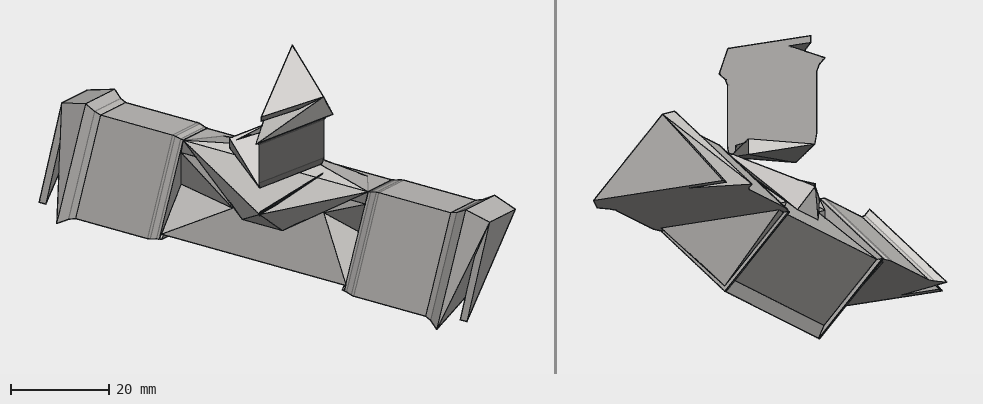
import cadquery as cq
import math

half_length = 46.0

socket_inner_end = 19.9
socket_inner_radius = 14.9
socket_step = 20.4
socket_step_radius = 15.0
socket_bend = 21.6
socket_bend_radius = 15.5
socket_shoulder = 22.2
socket_radius = 15.55
bead_foot = 37.6
bead_flank = 38.9
bead_flank_radius = 16.2
bead_crest = 40.85
bead_diameter = 36.0
bead_radius = bead_diameter / 2
mouth_radius = 16.0
mouth_bore_radius = 14.1
mouth_lip = 1.5
mouth_notch_start = 5.5

branch_base = 20.0
branch_root_radius = 9.9
branch_shoulder = 22.3
branch_radius = 10.4
branch_bead_foot = 35.3
branch_bead_flank = 36.6
branch_bead_flank_radius = 10.95
branch_bead_crest = 37.9
branch_bead_radius = 12.3
branch_mouth = 43.1
branch_mouth_radius = 10.3
branch_bore_radius = 9.0
branch_lip = mouth_lip
branch_notch_start = 4.0

flap_tip_bottom = 16.65
flap_wall_radius = 8.5

core_radius = 14.8
core_wall = 1.3
core_inner_radius = core_radius - core_wall
lower_half_length = socket_inner_end
lower_flare_length = 21.8
flare_radius = 13.7
end_flange = 0.5
recess_floor = 1.5
left_recess_x = 6.8
left_recess_side = 7.1
right_recess_x = 11.8
right_recess_side = 4.1
spur_root_height = 1.8
spur_reach = 10.0
spur_height = 11.0
spur_foot_half_width = 4.3
spur_foot_side = 8.3
rear_spur_reach = 8.65
rear_spur_height = 10.3
rear_spur_half_width = 15.5
rear_spur_side = 12.3
fin_tip_height = 16.5
fin_height = 1.1
fin_thickness = 0.3

TOLERANCE = 8.46e-07


def convex_solid(corners):
    """Smallest convex solid around the given corner points."""
    points = [cq.Vector(*corner) for corner in corners]
    faces = {}
    for i, first in enumerate(points):
        for j, second in enumerate(points[:i]):
            for third in points[:j]:
                normal = (second - first).cross(third - first)
                if normal.Length < TOLERANCE:
                    continue
                normal = normal.normalized()
                heights = [normal.dot(point - first) for point in points]
                if min(heights) < -TOLERANCE and max(heights) > TOLERANCE:
                    continue
                members = [k for k, height in enumerate(heights) if abs(height) <= TOLERANCE]
                if tuple(members) not in faces:
                    faces[tuple(members)] = flat_face([points[k] for k in members], normal)
    return cq.Solid.makeSolid(cq.Shell.makeShell(list(faces.values()))).fix()


def flat_face(points, normal):
    """Convex planar face through points given in any order."""
    middle = sum(points, cq.Vector()) / len(points)
    across = (points[0] - middle).normalized()
    along = normal.cross(across)

    def bearing(point):
        return math.atan2(along.dot(point - middle), across.dot(point - middle))

    ring = sorted(points, key=bearing)
    return cq.Face.makeFromWires(cq.Wire.makePolygon(ring, close=True))


def join(solids):
    """One solid from touching or overlapping pieces."""
    return solids[0].fuse(*solids[1:]).clean().Solids()[0]


def half_diamond(place, along, radius):
    return [place(along, radius, 0), place(along, -radius, 0), place(along, 0, radius)]


def half_socket(place, stations, crest, mouth, lip, bore_radius, notch_start):
    """Half-diamond pipe through (distance, radius) stations, ending in a beaded mouth."""
    pieces = []
    for start, end in zip(stations, stations[1:]):
        pieces.append(convex_solid(half_diamond(place, *start) + half_diamond(place, *end)))

    mouth_at, radius = mouth
    side_and_peak = [(radius, 0), (0, radius)]
    rim = [place(mouth_at, side, peak) for side, peak in side_and_peak]
    notch = place(mouth_at - lip, -notch_start, 0)
    pieces.append(convex_solid(half_diamond(place, *crest) + rim + [notch]))

    lip_corners = []
    for along in (mouth_at - lip, mouth_at):
        lip_corners += [place(along, side, peak) for side, peak in side_and_peak]
        lip_corners.append(place(along, -bore_radius, 0))
    pieces.append(convex_solid(lip_corners))
    return pieces


def make_run_socket(direction):
    """Run socket whose mouth points along +X (direction 1) or -X (direction -1)."""
    def place(along, side, peak):
        return (direction * along, side, peak)

    crest = (bead_crest, bead_radius)
    stations = [
        (socket_inner_end, socket_inner_radius),
        (socket_step, socket_step_radius),
        (socket_bend, socket_bend_radius),
        (socket_shoulder, socket_radius),
        (bead_foot, socket_radius),
        (bead_flank, bead_flank_radius),
        crest,
    ]
    mouth = (half_length, mouth_radius)
    return join(half_socket(place, stations, crest, mouth, mouth_lip, mouth_bore_radius, mouth_notch_start))


def make_branch_socket():
    """Upright socket with its peak toward +X and a flap toward -X below it."""
    def place(along, side, peak):
        return (peak, side, along)

    crest = (branch_bead_crest, branch_bead_radius)
    stations = [
        (branch_base, branch_root_radius),
        (branch_shoulder, branch_radius),
        (branch_bead_foot, branch_radius),
        (branch_bead_flank, branch_bead_flank_radius),
        crest,
    ]
    mouth = (branch_mouth, branch_mouth_radius)
    pieces = half_socket(place, stations, crest, mouth, branch_lip, branch_bore_radius, branch_notch_start)

    flap_tip = (-branch_root_radius, 0, flap_tip_bottom)
    flap_top = [
        (-branch_root_radius, 0, branch_base),
        (branch_root_radius, 0, branch_base),
        (0, branch_root_radius, branch_base),
        (0, -branch_root_radius, branch_base),
    ]
    pieces.append(convex_solid(flap_top + [flap_tip]))

    wall = [
        (0, flap_wall_radius, branch_shoulder),
        (0, flap_wall_radius, branch_base),
        (0, flap_wall_radius - core_wall, branch_base),
        (-flap_wall_radius, 0, branch_base),
    ]
    pieces.append(convex_solid(wall))
    return join(pieces)


step_height = core_inner_radius - core_wall


def core_prism(outline, half_span):
    """Prism along X from a cross-section of (side, height) corners."""
    return cq.Workplane("YZ").polyline(outline).close().extrude(half_span, both=True)


def upper_half():
    """Upper half, set back by the wall on its -Y side."""
    outline = [(core_radius, 0), (0, core_radius), (-core_wall, step_height), (-core_inner_radius, 0)]
    return core_prism(outline, socket_inner_end).val()


def lower_half():
    """Lower half with flared ends; only the end flanges reach the full radius on the -Y side."""
    recessed = [(core_radius, 0), (0, -core_radius), (-core_wall, -step_height), (-core_inner_radius, 0)]
    full = [(core_radius, 0), (0, -core_radius), (-core_radius, 0)]
    between_flanges = cq.Workplane("XY").box(
        2 * (lower_half_length - end_flange), 2 * core_radius, 2 * core_radius
    )
    flanges = core_prism(full, lower_half_length).cut(between_flanges)
    body = core_prism(recessed, lower_half_length).union(flanges).val()
    return join([body, end_flare(-1), end_flare(1)])


def end_flare(direction):
    """Wedge that widens one lower end toward the mid plane, under the socket."""
    inner_x = direction * lower_half_length
    outer_x = direction * lower_flare_length
    return convex_solid([
        (outer_x, -flare_radius, 0),
        (outer_x, flare_radius, 0),
        (inner_x, -flare_radius, 0),
        (inner_x, flare_radius, 0),
        (inner_x, 0, -flare_radius),
    ])


def front_spur():
    """Pointed overhang on the -Y side below the branch."""
    return convex_solid([
        (-socket_inner_end, 0, core_radius),
        (socket_inner_end, 0, core_radius),
        (0, -spur_reach, spur_height),
        (-spur_foot_half_width, -spur_foot_side, core_inner_radius - spur_foot_side),
        (spur_foot_half_width, -spur_foot_side, core_inner_radius - spur_foot_side),
        (0, 0, spur_root_height),
    ])


def rear_spur():
    """Shallow pointed rise on the +Y side below the branch."""
    return convex_solid([
        (-socket_inner_end, 0, core_radius),
        (socket_inner_end, 0, core_radius),
        (0, rear_spur_reach, rear_spur_height),
        (-rear_spur_half_width, rear_spur_side, core_radius - rear_spur_side),
        (rear_spur_half_width, rear_spur_side, core_radius - rear_spur_side),
    ])


def fin():
    """Thin blade rising from the front spur's point toward +X."""
    corners = []
    for offset in (0, fin_thickness):
        corners += [
            (0, offset - spur_reach, spur_height - fin_height / 2),
            (0, offset - spur_reach, spur_height + fin_height / 2),
            (spur_reach, offset, fin_tip_height),
        ]
    return convex_solid(corners)


def end_recess(edge_x, inner_x, inner_side):
    """Three-sided hollow in the -Y upper face, running out to one end of the core."""
    return convex_solid([
        (edge_x, -core_wall, step_height),
        (edge_x, -core_inner_radius, 0),
        (edge_x, -core_wall, recess_floor),
        (inner_x, -inner_side, core_inner_radius - inner_side),
    ])


def make_core():
    body = join([upper_half(), lower_half()])
    for recess in (
        end_recess(-socket_inner_end, -left_recess_x, left_recess_side),
        end_recess(socket_inner_end, right_recess_x, right_recess_side),
    ):
        body = body.cut(recess).Solids()[0]
    return join([body, front_spur(), rear_spur(), fin()])


core = make_core()
run_sockets = [make_run_socket(direction) for direction in (-1, 1)]
branch_socket = make_branch_socket()

result = cq.Compound.makeCompound([core, *run_sockets, branch_socket])